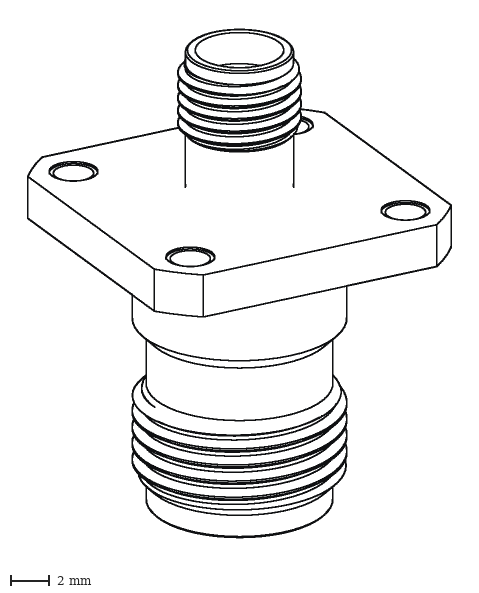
import cadquery as cq
import math

total_height = 25.4

flange_side = 17.45
flange_bottom = 15.11
flange_thickness = 2.35
flange_top = flange_bottom + flange_thickness
corner_radius = 11.1
hole_spacing = 12.65
hole_diameter = 2.08
counterbore_diameter = 2.51
counterbore_depth = 0.1

body_radius = 11.1 / 2
barrel_radius = 9.65 / 2
body_cone_top = 10.3
body_cone_bottom = body_cone_top - (body_radius - barrel_radius)
barrel_end_chamfer = 0.1

neck_radius = 5.6 / 2
neck_base_fillet = 0.23
rim_chamfer = 0.1
bore_radius = 4.57 / 2
bore_depth = 1.9
bore_floor = total_height - bore_depth
bore_floor_chamfer = 0.15
contact_radius = 0.95 / 2
contact_rim_radius = 1.2 / 2
contact_depth = 2.55

flank_slope = math.tan(math.radians(30))
crest_flat_per_pitch = 1 / 8
root_flat_per_pitch = 1 / 4
ridge_overlap = 0.05
envelope_clearance = 0.03

large_thread_bottom = 1.3
large_thread_top = 6.63
large_pitch = 0.907
large_crest_start = 0.85

small_thread_bottom = 20.88
small_thread_top = 24.66
small_pitch = 0.705
small_crest_radius = 6.38 / 2
small_crest_start = 20.12


def revolved(outline):
    """Turn a closed list of (radius, height) points around Z."""
    return cq.Workplane("XZ").polyline(outline).close().revolve(360, (0, 0, 0), (0, 1, 0))


def tapered_cylinder(radius, end_radius, bottom, top):
    """Cylinder with 45 degree ends running down to end_radius."""
    taper = radius - end_radius
    return revolved([
        (0, bottom),
        (end_radius, bottom),
        (radius, bottom + taper),
        (radius, top - taper),
        (end_radius, top),
        (0, top),
    ])


def add_thread(part, crest_radius, end_radius, pitch, bottom, top, crest_start):
    """Add a right-hand thread on a solid core, with 45 degree ends that run down to end_radius."""
    half_crest = crest_flat_per_pitch * pitch / 2
    half_root = (1 - root_flat_per_pitch) * pitch / 2
    root_radius = crest_radius - (half_root - half_crest) / flank_slope
    inner_radius = root_radius - ridge_overlap
    half_base = half_root + ridge_overlap * flank_slope
    turns = math.ceil((top + half_base - crest_start) / pitch)

    helix = cq.Wire.makeHelix(pitch, turns * pitch, root_radius, cq.Vector(0, 0, crest_start))
    ridge = (
        cq.Workplane("XZ")
        .polyline([
            (inner_radius, crest_start - half_base),
            (crest_radius, crest_start - half_crest),
            (crest_radius, crest_start + half_crest),
            (inner_radius, crest_start + half_base),
        ])
        .close()
        .sweep(cq.Workplane(obj=helix), isFrenet=True)
    )
    core = tapered_cylinder(root_radius, end_radius, bottom, top)
    envelope = tapered_cylinder(crest_radius + envelope_clearance, end_radius, bottom, top)
    return part.union(core).union(ridge.intersect(envelope, clean=False), clean=False)


def flange():
    """Square plate with corners turned round about Z and a counterbored hole near each corner."""
    plate = (
        cq.Workplane("XY")
        .workplane(offset=flange_bottom)
        .rect(flange_side, flange_side)
        .extrude(flange_thickness)
    )
    corner_limit = cq.Workplane("XY").circle(corner_radius).extrude(total_height)
    return (
        plate.intersect(corner_limit)
        .faces(">Z")
        .workplane()
        .rect(hole_spacing, hole_spacing, forConstruction=True)
        .vertices()
        .cboreHole(hole_diameter, counterbore_diameter, counterbore_depth)
    )


def large_connector():
    shell = revolved([
        (0, 0),
        (barrel_radius - barrel_end_chamfer, 0),
        (barrel_radius, barrel_end_chamfer),
        (barrel_radius, body_cone_bottom),
        (body_radius, body_cone_top),
        (body_radius, flange_bottom),
        (0, flange_bottom),
    ])
    return add_thread(
        shell, body_radius, barrel_radius, large_pitch,
        large_thread_bottom, large_thread_top, large_crest_start,
    )


def small_connector():
    """Threaded neck with a fillet at its foot."""
    neck = (
        cq.Workplane("XZ")
        .moveTo(0, flange_top)
        .lineTo(neck_radius + neck_base_fillet, flange_top)
        .radiusArc((neck_radius, flange_top + neck_base_fillet), neck_base_fillet)
        .lineTo(neck_radius, total_height - rim_chamfer)
        .lineTo(neck_radius - rim_chamfer, total_height)
        .lineTo(0, total_height)
        .close()
        .revolve(360, (0, 0, 0), (0, 1, 0))
    )
    return add_thread(
        neck, small_crest_radius, neck_radius, small_pitch,
        small_thread_bottom, small_thread_top, small_crest_start,
    )


def bore():
    """Open bore of the small connector, with the countersunk contact socket in its floor."""
    floor_edge = bore_floor + bore_floor_chamfer
    socket_edge = bore_floor - (contact_rim_radius - contact_radius)
    socket_floor = bore_floor - contact_depth
    return revolved([
        (0, total_height),
        (bore_radius, total_height),
        (bore_radius, floor_edge),
        (bore_radius - bore_floor_chamfer, bore_floor),
        (contact_rim_radius, bore_floor),
        (contact_radius, socket_edge),
        (contact_radius, socket_floor),
        (0, socket_floor),
    ])


result = (
    flange()
    .union(large_connector(), clean=False)
    .union(small_connector(), clean=False)
    .cut(bore(), clean=False)
)